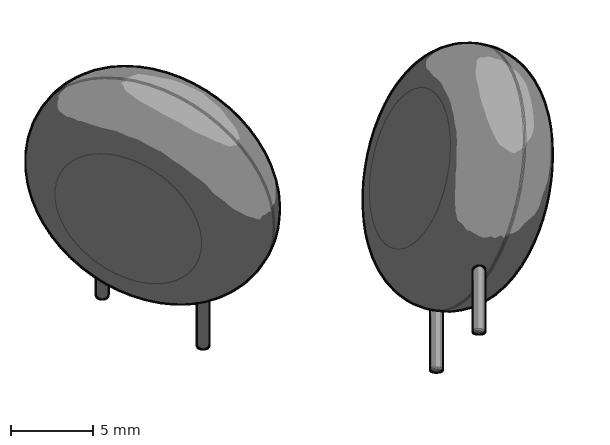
import cadquery as cq

body_diameter = 16.5
body_thickness = 6.7
edge_radius = 3.26

overall_height = 19.53
lead_diameter = 0.8
lead_spacing_x = 7.5
lead_spacing_y = 1.29
lead_tip_radius = 0.15

body_radius = body_diameter / 2
lead_bottom = body_radius - overall_height


def make_body():
    disc = cq.Workplane("XZ").circle(body_radius).extrude(body_thickness / 2, both=True)
    return disc.faces("|Y").edges().fillet(edge_radius)


def make_lead(x, y):
    """Lead with a rounded tip, running up to the disc's centre height inside the body."""
    lead = (
        cq.Workplane("XY", origin=(x, y, lead_bottom))
        .circle(lead_diameter / 2)
        .extrude(-lead_bottom)
    )
    return lead.faces("<Z").edges().fillet(lead_tip_radius)


result = make_body()
for side in (-1, 1):
    result = result.union(make_lead(side * lead_spacing_x / 2, -side * lead_spacing_y / 2))